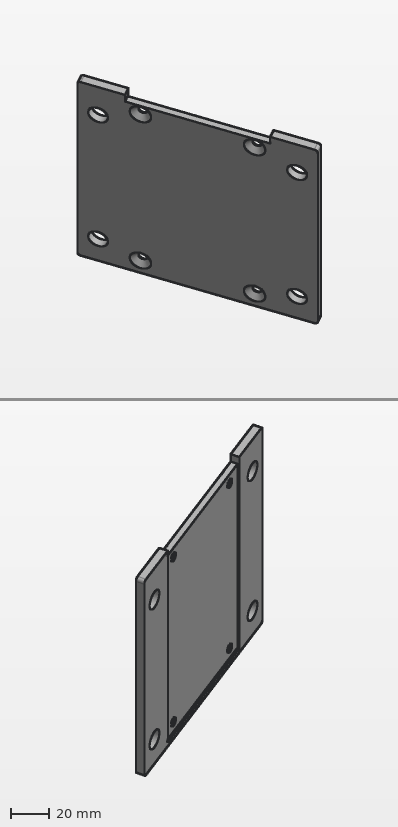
import cadquery as cq

width = 135.0
thickness = 5.0
height = 140.0
corner_radius = 2.0

notch_width = 81.5
notch_depth = 5.3

recess_depth = 1.0
recess_bottom_wall = 3.2

mount_diameter = 11.0
mount_spacing_x = 111.7
mount_spacing_z = 100.0
mount_bottom_margin = 17.5

screw_diameter = 5.0
sink_diameter = 12.0
sink_angle = 90
screw_spacing_x = 64.1
screw_spacing_z = 118.0
screw_bottom_margin = 10.0


def hole_pattern(spacing_x, spacing_z, bottom_margin):
    """Corners of a rectangle of holes, centred in X and set up from the bottom edge."""
    return [
        (side * spacing_x / 2, -height / 2 + bottom_margin + row * spacing_z)
        for side in (-1, 1)
        for row in (0, 1)
    ]


def front_face(body):
    """Sketch plane on the front face, with its origin at the plate centre."""
    return body.faces("<Y").workplane(origin=(0, -thickness / 2, 0))


plate = cq.Workplane("XY").box(width, thickness, height).edges("|Y").fillet(corner_radius)

notch = cq.Workplane("XY").box(notch_width, thickness, 2 * notch_depth).translate((0, 0, height / 2))
plate = plate.cut(notch)

recess_height = height - recess_bottom_wall
recess = (
    cq.Workplane("XY")
    .box(notch_width, recess_depth, recess_height)
    .translate((0, (thickness - recess_depth) / 2, recess_bottom_wall / 2))
)
plate = plate.cut(recess)

mount_points = hole_pattern(mount_spacing_x, mount_spacing_z, mount_bottom_margin)
plate = front_face(plate).pushPoints(mount_points).hole(mount_diameter)

screw_points = hole_pattern(screw_spacing_x, screw_spacing_z, screw_bottom_margin)
plate = front_face(plate).pushPoints(screw_points).cskHole(screw_diameter, sink_diameter, sink_angle)

result = plate